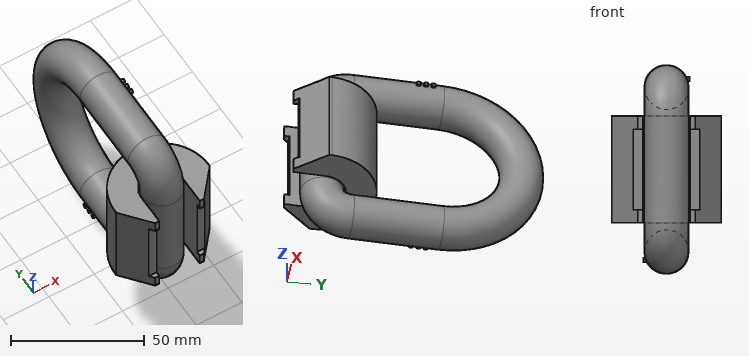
import cadquery as cq
import math

total_length = 96.5
ring_height = 78.0
bracket_width = 41.0
bracket_height = 39.95

bar_diameter = 16.5
leg_length = 34.2
bar_radius = bar_diameter / 2
leg_z = ring_height / 2 - bar_radius
corner_radius = leg_z - bracket_height / 2
bow_start_y = corner_radius + leg_length
bow_end_y = bow_start_y + leg_z

stud_diameter = 1.6
stud_count = 3
stud_pitch = 2.8
first_stud_gap = 4.1
stud_z_offset = 3.1
stud_rise = 0.4
stud_root = bar_radius / 2

slot_width = 17.8
cheek_flat = 0.9
foot_width = 1.8
relief_depth = 1.9
foot_height = 5.0
bracket_radius = bracket_width / 2
slot_radius = slot_width / 2
foot_y = bow_end_y + bar_radius - total_length
foot_outer_x = slot_radius + foot_width


def bent_bar():
    """Round bar swept along the closed D-shaped centre line."""
    half_bar = bracket_height / 2
    bend = corner_radius * math.sqrt(0.5)
    bend_mid_y = corner_radius - bend
    bend_mid_z = half_bar + bend
    centre_line = (
        cq.Workplane("YZ")
        .moveTo(0, -half_bar)
        .lineTo(0, half_bar)
        .threePointArc((bend_mid_y, bend_mid_z), (corner_radius, leg_z))
        .lineTo(bow_start_y, leg_z)
        .threePointArc((bow_end_y, 0), (bow_start_y, -leg_z))
        .lineTo(corner_radius, -leg_z)
        .threePointArc((bend_mid_y, -bend_mid_z), (0, -half_bar))
        .close()
    )
    section = cq.Workplane("XY", origin=(0, 0, -half_bar)).circle(bar_radius)
    return section.sweep(centre_line)


def marker_studs(side):
    """Row of studs: side +1 is on the +X face of the upper leg, -1 on the -X face of the lower leg."""
    stud_length = bar_radius + stud_rise - stud_root
    centres = [
        (bow_start_y - first_stud_gap - i * stud_pitch, side * (leg_z + stud_z_offset))
        for i in range(stud_count)
    ]
    return (
        cq.Workplane("YZ", origin=(side * stud_root, 0, 0))
        .pushPoints(centres)
        .circle(stud_diameter / 2)
        .extrude(side * stud_length)
    )


def make_ring():
    ring = bent_bar()
    for side in (1, -1):
        ring = ring.union(marker_studs(side))
    return ring


def make_bracket():
    profile = (
        cq.Workplane("XY")
        .moveTo(-bracket_radius, 0)
        .threePointArc((0, bracket_radius), (bracket_radius, 0))
        .lineTo(bracket_radius, -cheek_flat)
        .lineTo(foot_outer_x, foot_y)
        .lineTo(slot_radius, foot_y)
        .lineTo(slot_radius, 0)
        .threePointArc((0, slot_radius), (-slot_radius, 0))
        .lineTo(-slot_radius, foot_y)
        .lineTo(-foot_outer_x, foot_y)
        .lineTo(-bracket_radius, -cheek_flat)
        .close()
    )
    saddle = profile.extrude(bracket_height / 2, both=True)

    relief = (
        cq.Workplane("XY")
        .box(bracket_width, 2 * relief_depth, bracket_height - 2 * foot_height)
        .translate((0, foot_y, 0))
    )
    return saddle.cut(relief)


ring = make_ring()
bracket = make_bracket()

result = cq.Compound.makeCompound([ring.solids().val(), bracket.solids().val()])